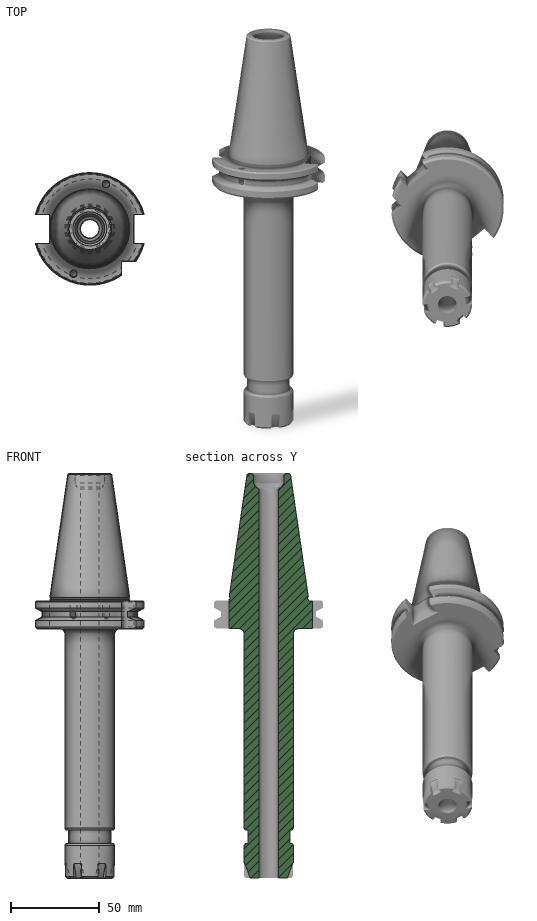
import cadquery as cq
import math


gauge_radius = 44.5 / 2
taper_length = 68.3
taper_slope = 7 / 48
taper_tip_radius = gauge_radius - taper_length * taper_slope
tip_chamfer = 0.7

flange_top = -3.7
relief_top = -1.5
relief_bottom = -2.7
taper_end_radius = gauge_radius - relief_top * taper_slope
relief_depth = 0.5
relief_radius = taper_end_radius - relief_depth

flange_radius = 31.7
flange_height = 15.8
flange_bottom = flange_top - flange_height
flange_top_chamfer = 0.7
flange_bottom_chamfer = 1.1
groove_floor_radius = 28.0
groove_floor_width = 3.0
groove_center_depth = 7.5
groove_center = flange_top - groove_center_depth
groove_flank_rise = (flange_radius - groove_floor_radius) * math.tan(math.radians(30))
groove_half_floor = groove_floor_width / 2
groove_half_mouth = groove_half_floor + groove_flank_rise

key_slot_width = 16.2
key_slot_floor_left = 22.5
key_slot_floor_right = 25.0
notch_x = 18.0
notch_y = 18.3

coolant_hole_radius = 2.0
coolant_hole_circle = 27.0
coolant_hole_angle = 70
coolant_hole_bottom = groove_center - groove_half_floor

total_length = 228.5
nose = taper_length - total_length
body_radius = 28.0 / 2
body_fillet = 2.7
nut_height = 19.6
neck_length = 7.5
nut_top = nose + nut_height
body_bottom = nut_top + neck_length
neck_radius = 24.0 / 2
neck_chamfer_width = 0.7
neck_chamfer_height = 1.1
nut_bottom_chamfer = 1.1

nut_slot_count = 6
nut_slot_width = 5.0
nut_slot_height = 8.5
nut_slot_depth_top = 0.5
nut_slot_depth_bottom = 3.5
nut_slot_corner = 1.1

through_radius = 5.3
socket_radius = 8.5
socket_depth = 5.5
mouth_chamfer = 1.1
seat_radius = 7.0
seat_depth = 7.8
drill_point_slope = math.tan(math.radians(30))


def turned_body():
    outline = (
        cq.Workplane("XZ")
        .moveTo(0, taper_length)
        .lineTo(taper_tip_radius - tip_chamfer, taper_length)
        .lineTo(taper_tip_radius + tip_chamfer * taper_slope, taper_length - tip_chamfer)
        .lineTo(taper_end_radius, relief_top)
        .lineTo(relief_radius, relief_top)
        .lineTo(relief_radius, relief_bottom)
        .lineTo(taper_end_radius, relief_bottom)
        .lineTo(taper_end_radius, flange_top)
        .lineTo(flange_radius - flange_top_chamfer, flange_top)
        .lineTo(flange_radius, flange_top - flange_top_chamfer)
        .lineTo(flange_radius, groove_center + groove_half_mouth)
        .lineTo(groove_floor_radius, groove_center + groove_half_floor)
        .lineTo(groove_floor_radius, groove_center - groove_half_floor)
        .lineTo(flange_radius, groove_center - groove_half_mouth)
        .lineTo(flange_radius, flange_bottom + flange_bottom_chamfer)
        .lineTo(flange_radius - flange_bottom_chamfer, flange_bottom)
        .lineTo(body_radius + body_fillet, flange_bottom)
        .radiusArc((body_radius, flange_bottom - body_fillet), -body_fillet)
        .lineTo(body_radius, body_bottom + neck_chamfer_height)
        .lineTo(body_radius - neck_chamfer_width, body_bottom)
        .lineTo(neck_radius, body_bottom)
        .lineTo(neck_radius, nut_top)
        .lineTo(body_radius - neck_chamfer_width, nut_top)
        .lineTo(body_radius, nut_top - neck_chamfer_height)
        .lineTo(body_radius, nose + nut_bottom_chamfer)
        .lineTo(body_radius - nut_bottom_chamfer, nose)
        .lineTo(0, nose)
        .close()
    )
    return outline.revolve(360, (0, 0, 0), (0, 1, 0))


def flange_cutter(x_start, y_start, width_x, width_y):
    return (
        cq.Workplane("XY", origin=(0, 0, flange_bottom))
        .rect(width_x, width_y, centered=False)
        .extrude(flange_height)
        .translate((x_start, y_start, 0))
    )


def flange_cutouts():
    reach = flange_radius
    left = flange_cutter(-key_slot_floor_left - reach, -key_slot_width / 2, reach, key_slot_width)
    right = flange_cutter(key_slot_floor_right, -key_slot_width / 2, reach, key_slot_width)
    notch = flange_cutter(notch_x, -notch_y - reach, reach, reach)
    return left.union(right).union(notch)


def coolant_holes():
    drill = (
        cq.Workplane("XZ")
        .moveTo(0, flange_top)
        .lineTo(coolant_hole_radius, flange_top)
        .lineTo(coolant_hole_radius, coolant_hole_bottom)
        .lineTo(0, coolant_hole_bottom - coolant_hole_radius * drill_point_slope)
        .close()
        .revolve(360, (0, 0, 0), (0, 1, 0))
        .translate((coolant_hole_circle, 0, 0))
    )
    first = drill.rotate((0, 0, 0), (0, 0, 1), coolant_hole_angle)
    opposite = first.rotate((0, 0, 0), (0, 0, 1), 180)
    return first.union(opposite)


def nut_slots():
    outside = 2 * body_radius
    slot = (
        cq.Workplane("XZ")
        .moveTo(body_radius - nut_slot_depth_bottom, nose)
        .lineTo(body_radius - nut_slot_depth_top, nose + nut_slot_height)
        .lineTo(outside, nose + nut_slot_height)
        .lineTo(outside, nose)
        .close()
        .extrude(nut_slot_width / 2, both=True)
        .edges("|X and >Z")
        .fillet(nut_slot_corner)
    )
    slots = slot
    for index in range(1, nut_slot_count):
        slots = slots.union(slot.rotate((0, 0, 0), (0, 0, 1), index * 360 / nut_slot_count))
    return slots


def central_bore():
    seat_cone_height = (seat_radius - through_radius) * drill_point_slope
    outline = (
        cq.Workplane("XZ")
        .moveTo(0, taper_length)
        .lineTo(socket_radius + mouth_chamfer, taper_length)
        .lineTo(socket_radius, taper_length - mouth_chamfer)
        .lineTo(socket_radius, taper_length - socket_depth)
        .lineTo(seat_radius, taper_length - seat_depth)
        .lineTo(through_radius, taper_length - seat_depth - seat_cone_height)
        .lineTo(through_radius, nose)
        .lineTo(0, nose)
        .close()
    )
    return outline.revolve(360, (0, 0, 0), (0, 1, 0))


result = (
    turned_body()
    .cut(flange_cutouts())
    .cut(coolant_holes())
    .cut(nut_slots())
    .cut(central_bore())
)